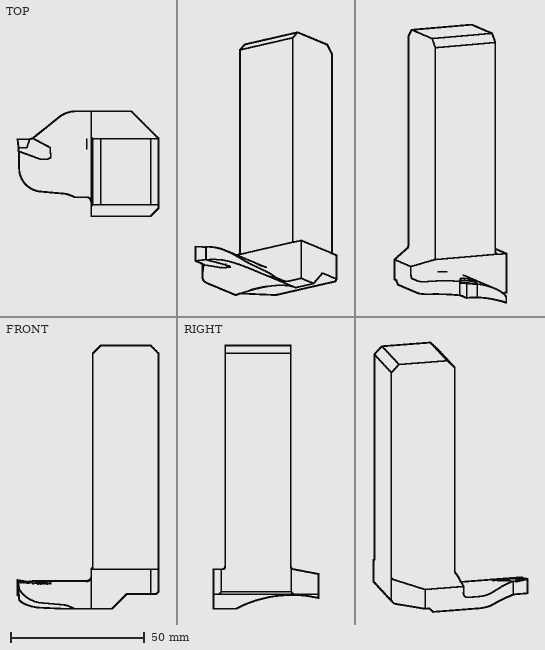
import cadquery as cq
import math

total_x = 53.1
total_y = 39.5
total_z = 99.0
margin = 9.9

shank_side = 24.7
shank_x = total_x - shank_side
shank_y = 4.4
shank_back_y = shank_y + shank_side
shank_chamfer = 3.0

head_x = 27.7
head_top = 14.9
head_back_top = 13.2
root_radius = 1.0
slope_start_y = shank_back_y + root_radius
front_corner = 3.0
back_corner = 10.3
step_height = 5.5
step_foot_x = 35.5
foot_chamfer = 0.9

arch_y = 29.4
upper_peak = 10.6
upper_radius = 28.7
lower_peak = 5.2
lower_radius = 44.5
blade_fillet = 1.6

blade_tip_x = 0.6
nose_top_y = 18.4
nose_end = (9.1, 9.2)
nose_mid = (3.0, 12.1)
flank_end = (18.0, 8.4)
flank_mid = (20.2, 7.7)
flank_toe = (22.8, 6.4)
back_corner_x = 18.4
back_radius = 9.9

tip_y = 29.0
pad_length = 3.6
pad_y = 25.8
insert_left_x = 0.4
insert_left_y = 24.5
insert_shoulder = (4.7, tip_y)
insert_heel = (5.7, 29.3)
insert_back = [(12.3, 25.8), (12.6, 22.1), (11.3, 21.4), (8.8, 21.4)]

tip_height = 10.9
body_height = 10.7
body_rise_x = -0.05
pad_rise_x = -0.17
top_rise_y = 0.15


def arch_cylinder(peak, radius):
    """Cylinder along X whose crown is at height peak."""
    return (
        cq.Workplane("YZ", origin=(-margin, 0, 0))
        .center(arch_y, peak - radius)
        .circle(radius)
        .extrude(total_x + 2 * margin)
    )


def make_shank():
    shank = cq.Workplane("XY").box(
        shank_side, shank_side, total_z - head_top, centered=False
    )
    shank = shank.translate((shank_x, shank_y, head_top))
    return shank.faces(">Z").edges("|Y").chamfer(shank_chamfer)


def make_head_plan():
    """Vertical prism over the head's outline, with its two cut corners."""
    return (
        cq.Workplane("XY")
        .polyline([
            (head_x, 0),
            (total_x - front_corner, 0),
            (total_x, front_corner),
            (total_x, total_y - back_corner),
            (total_x - back_corner, total_y),
            (head_x, total_y),
        ])
        .close()
        .extrude(total_z)
    )


def make_root_fillet():
    """Concave fillet around the shank, trimmed to the head's outline."""
    skirt = (
        cq.Workplane("XY", origin=(shank_x - root_radius, shank_y - root_radius, head_top))
        .box(shank_side + root_radius, shank_side + 2 * root_radius, root_radius, centered=False)
    )
    for y in (shank_y - root_radius, shank_back_y + root_radius):
        rod = (
            cq.Workplane("YZ", origin=(0, y, head_top + root_radius))
            .circle(root_radius)
            .extrude(total_x)
        )
        skirt = skirt.cut(rod)
    side_rod = (
        cq.Workplane("XZ", origin=(shank_x - root_radius, 0, head_top + root_radius))
        .circle(root_radius)
        .extrude(-total_y)
    )
    return skirt.cut(side_rod).intersect(make_head_plan())


def make_head():
    profile = (
        cq.Workplane("XZ")
        .polyline([
            (head_x, 0),
            (step_foot_x, 0),
            (step_foot_x + step_height, step_height),
            (total_x - foot_chamfer, step_height),
            (total_x, step_height + foot_chamfer),
            (total_x, head_top),
            (head_x, head_top),
        ])
        .close()
        .extrude(-total_y)
    )
    back_slope = (
        cq.Workplane("YZ")
        .polyline([
            (slope_start_y, head_top),
            (total_y, head_back_top),
            (total_y, head_top),
        ])
        .close()
        .extrude(total_x)
    )
    return profile.intersect(make_head_plan()).cut(back_slope)


def make_blade_plan():
    """Vertical prism over the blade outline, running into the head."""
    heel_x, heel_y = insert_heel
    slope = math.atan2(total_y - heel_y, back_corner_x - heel_x)
    tangent = back_radius * math.tan(slope / 2)
    arc_start = (
        back_corner_x - tangent * math.cos(slope),
        total_y - tangent * math.sin(slope),
    )
    arc_end = (back_corner_x + tangent, total_y)
    arc_mid = (
        arc_end[0] - back_radius * math.sin(slope / 2),
        total_y - back_radius * (1 - math.cos(slope / 2)),
    )
    return (
        cq.Workplane("XY")
        .moveTo(blade_tip_x, tip_y)
        .lineTo(blade_tip_x, nose_top_y)
        .threePointArc(nose_mid, nose_end)
        .lineTo(*flank_end)
        .threePointArc(flank_mid, flank_toe)
        .lineTo(flank_toe[0], 0)
        .lineTo(step_foot_x, 0)
        .lineTo(step_foot_x, total_y)
        .lineTo(*arc_end)
        .threePointArc(arc_mid, arc_start)
        .lineTo(heel_x, heel_y)
        .lineTo(*insert_shoulder)
        .close()
        .extrude(upper_peak)
    )


def make_blade_fillet():
    """Concave fillet where the blade's upper face meets the head."""
    ring_radius = upper_radius + blade_fillet
    axis_height = upper_peak - upper_radius
    ring = (
        cq.Workplane("XY", origin=(head_x, arch_y, axis_height))
        .moveTo(0, ring_radius)
        .threePointArc(
            (
                -blade_fillet * (1 - math.sqrt(0.5)),
                ring_radius - blade_fillet * math.sqrt(0.5),
            ),
            (-blade_fillet, upper_radius),
        )
        .lineTo(0, upper_radius)
        .close()
        .revolve(360, (0, 0), (1, 0))
    )
    zone = cq.Workplane("XY").box(total_x, total_y, total_z, centered=False)
    return ring.intersect(zone)


def make_insert_plan():
    return (
        cq.Workplane("XY")
        .polyline([
            (0, tip_y),
            insert_shoulder,
            insert_heel,
            *insert_back,
            (insert_left_x, insert_left_y),
            (insert_left_x, pad_y),
        ])
        .close()
        .extrude(head_top)
    )


def space_above(height, rise_x):
    """Block above the sloping plane that has this height at the tip corner."""
    plane = cq.Plane(
        origin=(0, tip_y, height), xDir=(1, 0, rise_x), normal=(-rise_x, -top_rise_y, 1)
    )
    return cq.Workplane(plane).rect(2 * total_x, 2 * total_y).extrude(margin)


def make_insert():
    plan = make_insert_plan().cut(arch_cylinder(lower_peak, lower_radius))
    pad_zone = (
        cq.Workplane("XY")
        .polyline([
            (0, pad_y),
            (pad_length, pad_y),
            insert_shoulder,
            (0, tip_y),
        ])
        .close()
        .extrude(head_top)
    )
    body = plan.cut(pad_zone).cut(space_above(body_height, body_rise_x))
    pad = plan.intersect(pad_zone).cut(space_above(tip_height, pad_rise_x))
    return body.union(pad)


def make_holder():
    blade = make_blade_plan().intersect(arch_cylinder(upper_peak, upper_radius))
    holder = make_head().union(make_shank()).union(make_root_fillet())
    holder = holder.union(blade).union(make_blade_fillet())
    holder = holder.cut(arch_cylinder(lower_peak, lower_radius))
    return holder.cut(make_insert_plan())


holder = make_holder()
insert = make_insert()
result = cq.Compound.makeCompound([*holder.solids().vals(), *insert.solids().vals()])